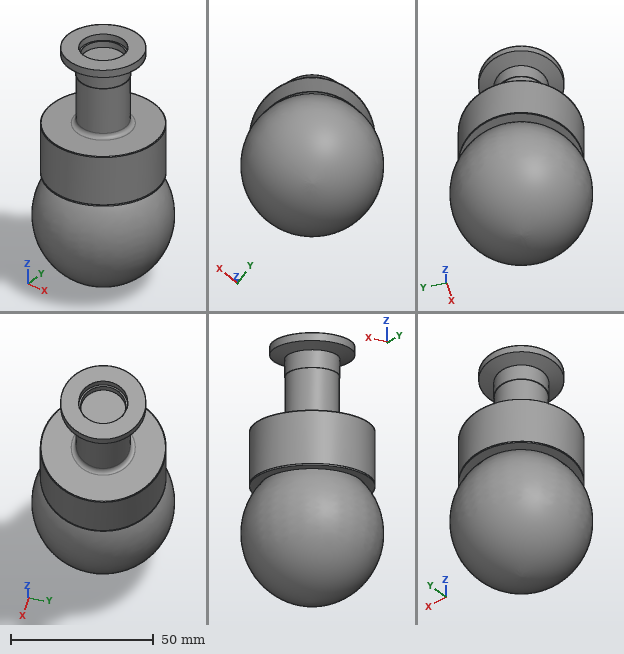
import cadquery as cq
import math

bulb_radius = 25.1
equator_height = 26.1

collar_diameter = 44.2
collar_bottom = 43.7
collar_top = 64.2
collar_top_chamfer = 0.3
lower_band_diameter = 44.1
lower_band_height = 0.6

neck_diameter = 19.1
neck_fillet = 1.7
sleeve_diameter = 19.4
sleeve_bottom = 84.6

total_height = 95.7
flange_diameter = 30.0
rim_height = 3.0
cone_height = 1.5

counterbore_diameter = 17.2
counterbore_depth = 2.6
bore_diameter = 15.9
bore_depth = 5.1

arc_offset = (equator_height**2 - bulb_radius**2) / (2 * bulb_radius)
arc_radius = bulb_radius + arc_offset


def bulb_radius_at(height):
    """Radius of the bulb at a given height."""
    return math.sqrt(arc_radius**2 - (height - equator_height) ** 2) - arc_offset


def cylinder(diameter, bottom, top):
    """Upright cylinder on the Z axis between two heights."""
    return cq.Workplane("XY").workplane(offset=bottom).circle(diameter / 2).extrude(top - bottom)


def make_bulb():
    """Bulb, cut flat where it meets the collar."""
    return (
        cq.Workplane("XZ")
        .moveTo(0, 0)
        .threePointArc((bulb_radius, equator_height), (bulb_radius_at(collar_bottom), collar_bottom))
        .lineTo(0, collar_bottom)
        .close()
        .revolve(360, (0, 0, 0), (0, 1, 0))
    )


def make_collar():
    """Collar with a chamfered top edge and a slightly narrower band at the bottom."""
    band_top = collar_bottom + lower_band_height
    band = cylinder(lower_band_diameter, collar_bottom, band_top)
    collar = cylinder(collar_diameter, band_top, collar_top).faces(">Z").edges().chamfer(collar_top_chamfer)
    return band.union(collar)


def make_neck_and_flange():
    """Neck flared into the collar by a fillet, with a sleeve and flange on top."""
    neck_radius = neck_diameter / 2
    sleeve_radius = sleeve_diameter / 2
    flange_radius = flange_diameter / 2
    rim_bottom = total_height - rim_height
    arc_reach = neck_fillet * (1 - math.sqrt(0.5))
    return (
        cq.Workplane("XZ")
        .moveTo(0, collar_top)
        .lineTo(neck_radius + neck_fillet, collar_top)
        .threePointArc(
            (neck_radius + arc_reach, collar_top + arc_reach),
            (neck_radius, collar_top + neck_fillet),
        )
        .lineTo(neck_radius, sleeve_bottom)
        .lineTo(sleeve_radius, sleeve_bottom)
        .lineTo(sleeve_radius, rim_bottom - cone_height)
        .lineTo(flange_radius, rim_bottom)
        .lineTo(flange_radius, total_height)
        .lineTo(0, total_height)
        .close()
        .revolve(360, (0, 0, 0), (0, 1, 0))
    )


def make_stepped_bore():
    """Cutting body for the counterbore and the narrower bore below it."""
    counterbore = cylinder(counterbore_diameter, total_height - counterbore_depth, total_height)
    bore = cylinder(bore_diameter, total_height - bore_depth, total_height)
    return counterbore.union(bore)


result = make_bulb().union(make_collar()).union(make_neck_and_flange()).cut(make_stepped_bore())